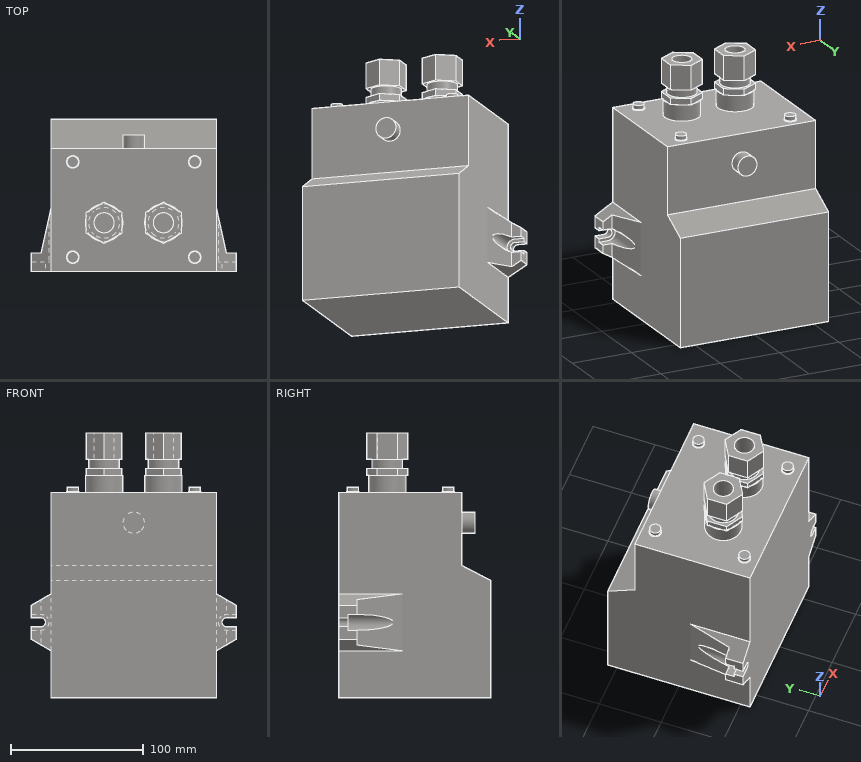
import cadquery as cq

total_height = 200.0
ear_span = 155.0
base_depth = 115.0

body_width = 125.0
body_height = 155.0
upper_depth = 93.0
step_top_z = 100.0
step_bottom_z = 88.5

ear_z = 57.0
ear_root_height = 43.0
ear_tip_height = 25.5
ear_thickness = 14.0
ear_shoulder_x = 70.0
ear_rib_depth = 48.0
ear_hole_x = ear_shoulder_x
ear_slot_width = 6.5
ear_counterbore_width = 12.0
ear_seat_y = 7.2

screw_pitch_x = 92.0
screw_pitch_y = 72.0
screw_front_y = 10.8
screw_diameter = 8.5
screw_height = 4.0
washer_diameter = 9.5
washer_height = 0.5

gland_pitch = 44.8
gland_y = 36.8
gland_hex_flats = 27.0
gland_collar_diameter = 28.5
gland_neck_diameter = 23.2
gland_bore_diameter = 15.2
gland_collar_top_z = 168.0
gland_flange_top_z = 173.2
gland_nut_bottom_z = 180.0

stud_diameter = 16.0
stud_length = 10.0
stud_z = 132.2


def make_body():
    """Housing extruded along X from its stepped side profile."""
    profile = [
        (0, 0),
        (base_depth, 0),
        (base_depth, step_bottom_z),
        (upper_depth, step_top_z),
        (upper_depth, body_height),
        (0, body_height),
    ]
    return cq.Workplane("YZ").polyline(profile).close().extrude(body_width / 2, both=True)


def open_slot(width, start_y, end_y):
    """Round-ended slot along Y, running from the ear hole out past the +X ear tip."""
    length_y = end_y - start_y
    round_end = cq.Workplane("XY").circle(width / 2).extrude(length_y)
    run = cq.Workplane("XY").box(ear_span / 2, width, length_y, centered=(False, True, False))
    slot = round_end.union(run).rotate((0, 0, 0), (1, 0, 0), -90)
    return slot.translate((ear_hole_x, start_y, ear_z))


def make_ear():
    """+X ear: tapered plate with a sloping rib, as one plan shape trimmed by its front shape."""
    root_x = body_width / 2
    tip_x = ear_span / 2
    plan = [
        (0, 0),
        (tip_x, 0),
        (tip_x, ear_thickness),
        (ear_shoulder_x, ear_thickness),
        (root_x, ear_rib_depth),
        (0, ear_rib_depth),
    ]
    front = [
        (0, ear_z - ear_root_height / 2),
        (root_x, ear_z - ear_root_height / 2),
        (tip_x, ear_z - ear_tip_height / 2),
        (tip_x, ear_z + ear_tip_height / 2),
        (root_x, ear_z + ear_root_height / 2),
        (0, ear_z + ear_root_height / 2),
    ]
    plan_solid = cq.Workplane("XY").polyline(plan).close().extrude(body_height)
    front_solid = cq.Workplane("XZ").polyline(front).close().extrude(-ear_rib_depth)
    ear = plan_solid.intersect(front_solid)
    ear = ear.cut(open_slot(ear_slot_width, 0, ear_rib_depth))
    return ear.cut(open_slot(ear_counterbore_width, ear_seat_y, ear_rib_depth))


def make_screw():
    """Cover screw head on its thin washer, standing on z = 0."""
    washer = cq.Workplane("XY").circle(washer_diameter / 2).extrude(washer_height)
    head = cq.Workplane("XY").circle(screw_diameter / 2).extrude(screw_height)
    return washer.union(head)


def disc(diameter, bottom_z, top_z):
    """Upright cylinder on the Z axis between two heights."""
    return cq.Workplane("XY").workplane(offset=bottom_z).circle(diameter / 2).extrude(top_z - bottom_z)


def hexagon(bottom_z, top_z):
    """Hexagonal prism with two flats facing -X and +X."""
    outline = cq.Workplane("XY").workplane(offset=bottom_z).polygon(6, gland_hex_flats, circumscribed=True)
    return outline.extrude(top_z - bottom_z)


def make_gland():
    """Cable gland: collar, hexagonal flange, neck and hexagonal nut with a blind bore."""
    gland = disc(gland_collar_diameter, body_height, gland_collar_top_z)
    gland = gland.union(hexagon(gland_collar_top_z, gland_flange_top_z))
    gland = gland.union(disc(gland_neck_diameter, gland_flange_top_z, gland_nut_bottom_z))
    gland = gland.union(hexagon(gland_nut_bottom_z, total_height))
    return gland.cut(disc(gland_bore_diameter, gland_nut_bottom_z, total_height))


def make_stud():
    """Round stud projecting from the upper back face."""
    start = cq.Workplane("XZ", origin=(0, upper_depth, stud_z))
    return start.circle(stud_diameter / 2).extrude(-stud_length)


result = make_body().union(make_stud())

ear = make_ear()
result = result.union(ear).union(ear.mirror("YZ"))

gland = make_gland()
screw = make_screw()
for side in (-1, 1):
    result = result.union(gland.translate((side * gland_pitch / 2, gland_y, 0)))
    for screw_y in (screw_front_y, screw_front_y + screw_pitch_y):
        result = result.union(screw.translate((side * screw_pitch_x / 2, screw_y, body_height)))